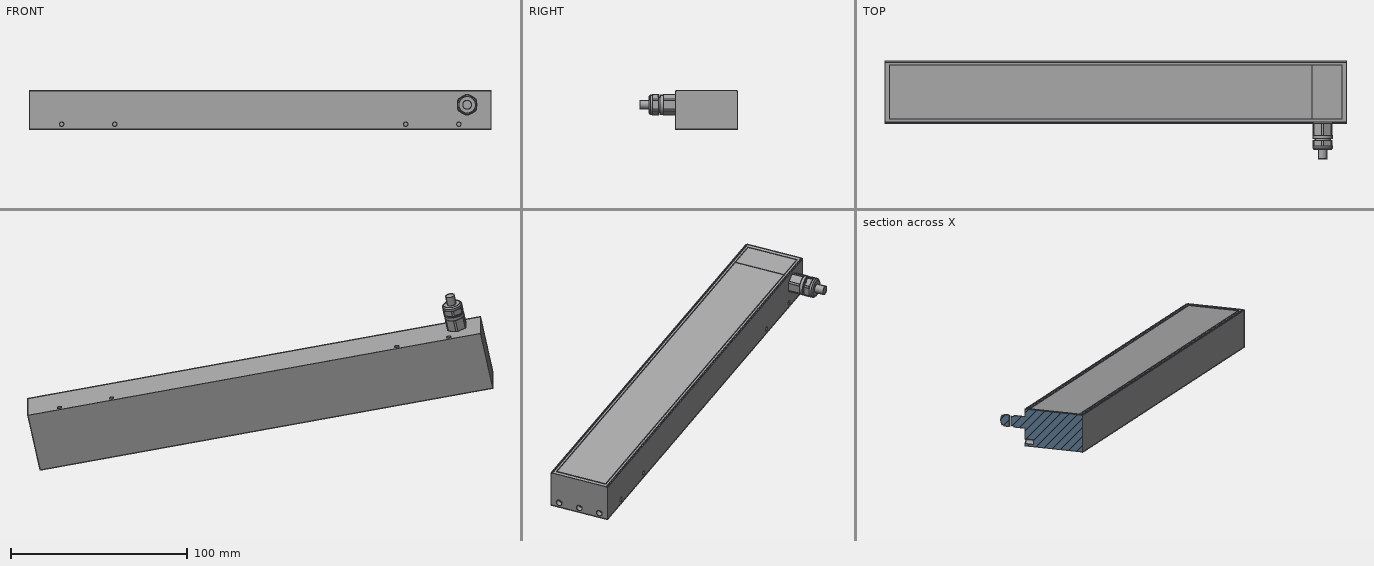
import cadquery as cq
import math

length = 262.0
width = 35.5
height = 22.0

wall = 0.8
wall_drop = 0.3
end_rim = 2.5
side_rim = 2.4
window_depth = 0.3
end_panel_depth = 0.13
end_panel_start = 242.4

hole_height = 3.0
hole_depth = 5.2
hole_diameter = 2.45
side_hole_insets = (18.3, 48.5)
end_hole_pitch = 12.5
end_counterbore_diameter = 3.5
end_counterbore_depth = 3.5

gland_x = 248.5
gland_z = 14.0
hex_flats = 10.7
hex_turn = 30.0
hex_corner_diameter = 11.8
base_hex_end = 6.8
collar_diameter = 11.0
collar_end = 8.6
neck_diameter = 8.6
neck_end = 9.7
nut_end = 12.8
cap_diameter = 11.0
cap_chamfer = 0.8
cap_end = 15.0
cable_diameter = 5.0
cable_end = 20.2


def front_plane(x, z, distance=0.0):
    """Workplane parallel to the outlet face, with its normal pointing out of the housing."""
    return cq.Workplane(cq.Plane(origin=(x, -distance, z), xDir=(1, 0, 0), normal=(0, -1, 0)))


def top_pocket(start, end, y_start, y_end, depth):
    """Block that sinks the top face by the given depth."""
    return (
        cq.Workplane("XY", origin=(start, y_start, height - depth))
        .box(end - start, y_end - y_start, depth, centered=False)
    )


def make_housing():
    body = cq.Workplane("XY").box(length, width, height, centered=False)
    for y in (0, width - wall):
        body = body.cut(top_pocket(0, length, y, y + wall, wall_drop))
    window_sides = (side_rim, width - side_rim)
    body = body.cut(top_pocket(end_rim, end_panel_start, *window_sides, window_depth))
    return body.cut(top_pocket(end_panel_start, length - end_rim, *window_sides, end_panel_depth))


def cut_side_holes(body):
    for inset in side_hole_insets:
        for x in (inset, length - inset):
            body = body.cut(front_plane(x, hole_height).circle(hole_diameter / 2).extrude(-hole_depth))
    return body


def cut_end_holes(body):
    for offset in (-end_hole_pitch, 0, end_hole_pitch):
        start = cq.Workplane("YZ").center(width / 2 + offset, hole_height)
        body = body.cut(start.circle(hole_diameter / 2).extrude(hole_depth))
        body = body.cut(start.circle(end_counterbore_diameter / 2).extrude(end_counterbore_depth))
    return body


def gland_round(diameter, start, end):
    return front_plane(gland_x, gland_z, start).circle(diameter / 2).extrude(end - start)


def gland_hex(start, end):
    """Hexagon with its corners rounded off to a common diameter."""
    across_corners = hex_flats / math.cos(math.pi / 6)
    prism = (
        front_plane(gland_x, gland_z, start)
        .transformed(rotate=(0, 0, hex_turn))
        .polygon(6, across_corners)
        .extrude(end - start)
    )
    return prism.intersect(gland_round(hex_corner_diameter, start, end))


def make_gland():
    cap = gland_round(cap_diameter, nut_end, cap_end).faces("<Y").chamfer(cap_chamfer)
    return (
        gland_hex(0, base_hex_end)
        .union(gland_round(collar_diameter, base_hex_end, collar_end))
        .union(gland_round(neck_diameter, collar_end, neck_end))
        .union(gland_hex(neck_end, nut_end))
        .union(cap)
        .union(gland_round(cable_diameter, cap_end, cable_end))
    )


housing = cut_end_holes(cut_side_holes(make_housing()))
result = housing.union(make_gland())